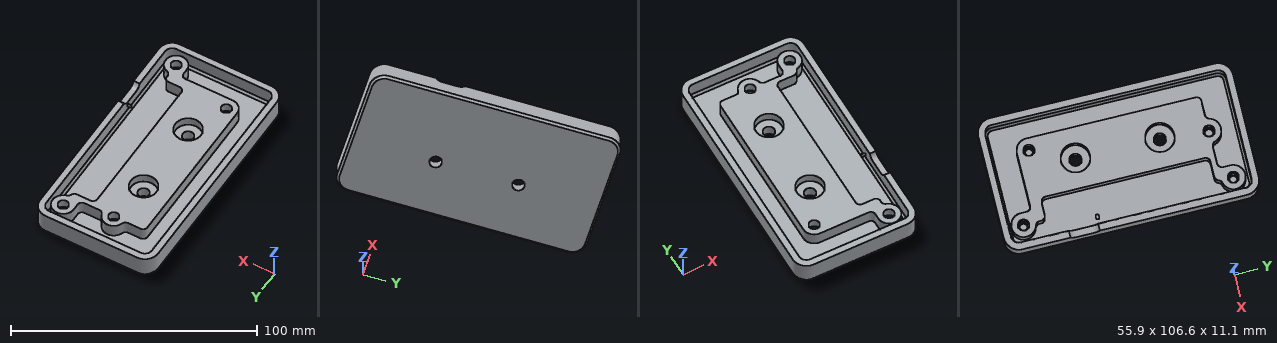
import cadquery as cq

TRAY_LENGTH_X = 55.9
TRAY_LENGTH_Y = 106.6
TRAY_HEIGHT = 10.6
WALL = 3.0
FLOOR = 3.0
CORNER_RADIUS = 6.3
CHAMFER = 1.02

NOTCH_Y = -20.8
NOTCH_FLAT = 6.3
NOTCH_DEPTH = 2.0
NOTCH_FLANK_RADIUS = 3.2

PLATFORM_HEIGHT = 6.1
PLATFORM_LEFT = -16.4
PLATFORM_RIGHT = 8.7
PLATFORM_BACK = 38.3
PLATFORM_FRONT = -39.7
BACK_ARM_FRONT = 35.8
FRONT_ARM_BACK = -34.8
PLATFORM_FILLET = 2.0

BOSS_RADIUS = 5.0
BACK_BOSS = (19.2, 43.3)
FRONT_BOSS = (18.0, -44.1)
EDGE_BOSS = (-1.7, PLATFORM_BACK)
CORNER_BOSS = (PLATFORM_LEFT + BOSS_RADIUS, PLATFORM_FRONT + BOSS_RADIUS)
INSERT_DIAMETER = 4.6
INSERT_DEPTH = 4.0
PILOT_DIAMETER = 3.2
EDGE_PILOT_DIAMETER = 3.5

MOUNT_X = -3.8
MOUNT_YS = (18.2, -17.1)
MOUNT_DIAMETER = 5.0
COUNTERBORE_DIAMETER = 12.0
COUNTERBORE_DEPTH = 4.0

CHIP_X = 22.3
CHIP_Y = -14.3
CHIP_LENGTH_X = 2.0
CHIP_LENGTH_Y = 1.4
CHIP_THICKNESS = 0.2
CHIP_CORNER_RADIUS = 0.6
CHIP_TOP = 11.1

PLATFORM_TOP = FLOOR + PLATFORM_HEIGHT


def slab(x_min, x_max, y_min, y_max):
    """Block of platform height standing on the floor between the given limits."""
    size_x = x_max - x_min
    size_y = y_max - y_min
    return (
        cq.Workplane("XY", origin=(x_min + size_x / 2, y_min + size_y / 2, FLOOR))
        .box(size_x, size_y, PLATFORM_HEIGHT, centered=(True, True, False))
    )


def cylinder(center, z_bottom, z_top, diameter):
    return cq.Workplane("XY", origin=(*center, z_bottom)).circle(diameter / 2).extrude(z_top - z_bottom)


def make_shell():
    """Open box with chamfered bottom edge and chamfered cavity floor."""
    outer = (
        cq.Workplane("XY")
        .box(TRAY_LENGTH_X, TRAY_LENGTH_Y, TRAY_HEIGHT, centered=(True, True, False))
        .edges("|Z").fillet(CORNER_RADIUS)
        .faces("<Z").edges().chamfer(CHAMFER)
    )
    cavity = (
        cq.Workplane("XY", origin=(0, 0, FLOOR))
        .box(
            TRAY_LENGTH_X - 2 * WALL,
            TRAY_LENGTH_Y - 2 * WALL,
            TRAY_HEIGHT - FLOOR,
            centered=(True, True, False),
        )
        .edges("|Z").fillet(CORNER_RADIUS - WALL)
        .faces("<Z").edges().chamfer(CHAMFER)
    )
    return outer.cut(cavity)


def make_notch():
    """Cutter for the wall notch: a rounded slot whose lower part dips below the rim."""
    slot_height = 2 * NOTCH_FLANK_RADIUS
    slot_center_z = TRAY_HEIGHT - NOTCH_DEPTH + NOTCH_FLANK_RADIUS
    return (
        cq.Workplane("YZ", origin=(TRAY_LENGTH_X / 2 - WALL, NOTCH_Y, slot_center_z))
        .slot2D(NOTCH_FLAT + slot_height, slot_height)
        .extrude(WALL)
    )


def make_platform():
    """Main plate, two arms and three bosses, with every inner corner rounded."""
    plate = (
        slab(PLATFORM_LEFT, PLATFORM_RIGHT, PLATFORM_FRONT, PLATFORM_BACK)
        .edges("|Z and <X and >Y").fillet(PLATFORM_FILLET)
        .edges("|Z and <X and <Y").fillet(BOSS_RADIUS)
    )
    back_arm_start = BACK_BOSS[0] - BOSS_RADIUS
    back_arm = (
        slab(back_arm_start, BACK_BOSS[0], BACK_ARM_FRONT, BACK_BOSS[1])
        .edges("|Z and >X and <Y").fillet(PLATFORM_FILLET)
        .union(slab(PLATFORM_RIGHT, back_arm_start, BACK_ARM_FRONT, PLATFORM_BACK))
    )
    front_arm_start = FRONT_BOSS[0] - BOSS_RADIUS
    front_arm = (
        slab(front_arm_start, FRONT_BOSS[0], FRONT_BOSS[1], FRONT_ARM_BACK)
        .edges("|Z and >X and >Y").fillet(PLATFORM_FILLET)
        .union(slab(PLATFORM_RIGHT, front_arm_start, PLATFORM_FRONT, FRONT_ARM_BACK))
    )
    sharp = plate.union(back_arm).union(front_arm)
    for center in (BACK_BOSS, FRONT_BOSS, EDGE_BOSS):
        sharp = sharp.union(cylinder(center, FLOOR, PLATFORM_TOP, 2 * BOSS_RADIUS))

    outline = sharp.clean().faces("<Z").wires().val()
    grown = outline.offset2D(PLATFORM_FILLET)[0]
    rounded = grown.offset2D(-PLATFORM_FILLET)[0]
    return cq.Workplane("XY").add(rounded).toPending().extrude(PLATFORM_HEIGHT)


def make_boss_hole(center, pilot_diameter):
    """Cutter for a wide insert bore with a narrower pilot down to floor level."""
    insert = cylinder(center, PLATFORM_TOP - INSERT_DEPTH, PLATFORM_TOP, INSERT_DIAMETER)
    return insert.union(cylinder(center, FLOOR, PLATFORM_TOP, pilot_diameter))


def make_mounting_hole(center):
    """Cutter for a through hole with a counterbore in the platform."""
    counterbore = cylinder(center, PLATFORM_TOP - COUNTERBORE_DEPTH, PLATFORM_TOP, COUNTERBORE_DIAMETER)
    return counterbore.union(cylinder(center, 0, PLATFORM_TOP, MOUNT_DIAMETER))


def make_tray():
    tray = make_shell().cut(make_notch()).union(make_platform())
    for center in (BACK_BOSS, FRONT_BOSS, CORNER_BOSS):
        tray = tray.cut(make_boss_hole(center, PILOT_DIAMETER))
    tray = tray.cut(make_boss_hole(EDGE_BOSS, EDGE_PILOT_DIAMETER))
    for mount_y in MOUNT_YS:
        tray = tray.cut(make_mounting_hole((MOUNT_X, mount_y)))
    return tray


def make_chip():
    return (
        cq.Workplane("XY", origin=(CHIP_X, CHIP_Y, CHIP_TOP - CHIP_THICKNESS))
        .box(CHIP_LENGTH_X, CHIP_LENGTH_Y, CHIP_THICKNESS, centered=(True, True, False))
        .edges("|Z").fillet(CHIP_CORNER_RADIUS)
    )


tray = make_tray()
chip = make_chip()
result = cq.Compound.makeCompound([tray.val(), chip.val()])